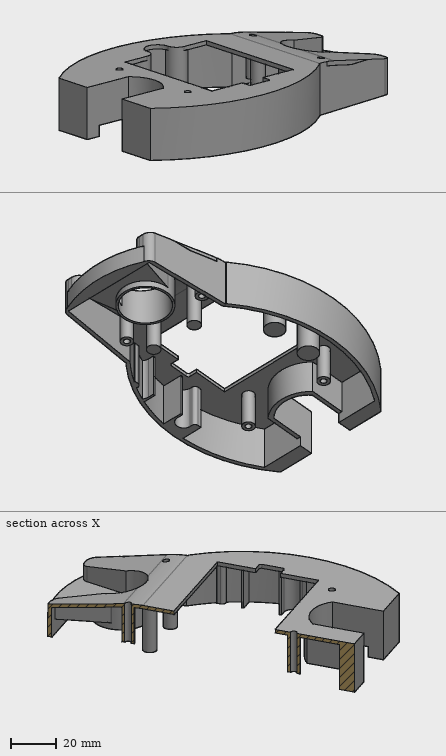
import cadquery as cq
import math

HEIGHT = 24.1
WALL = 2.0
CEILING = HEIGHT - WALL

BODY_LENGTH = 100.1
BODY_MID_Y = BODY_LENGTH / 2
BODY_WIDTH = 96.2
BODY_HALF_WIDTH = BODY_WIDTH / 2
BODY_END_HALF_WIDTH = 30.3
FRONT_WALL = 7.2
BULGE = BODY_HALF_WIDTH - BODY_END_HALF_WIDTH
SIDE_RADIUS = (BODY_MID_Y**2 + BULGE**2) / (2 * BULGE)
SIDE_CENTER_X = BODY_HALF_WIDTH - SIDE_RADIUS

PART_LENGTH = 150.5
NECK_ROOT_Y = 90.3
NECK_ROOT_HALF_WIDTH = 30.5
FINGER_TIP_Y = 145.8
FINGER_OUTER_X = 26.0
FINGER_INNER_X = 17.3
FINGER_ROUND = 3.9
THROAT_Y = 120.0
THROAT_HALF_WIDTH = 11.1
FLOOR_TOP = 9.2
TONGUE_HALF_WIDTH = 23.0
TONGUE_ROOT_Y = 135.5

SLOPE_START_Y = 105.1
SLOPE_ANGLE = math.radians(11)
SLOPE_BLEND = 4.7

NECK_HOLE_Y = 120.0
NECK_HOLE_DIAMETER = 24.0
NECK_TUBE_DIAMETER = 26.0
NECK_TUBE_BOTTOM = 4.0

SLOT_WIDTH = 23.0
SLOT_SIDE_LENGTH = 24.2
SLOT_DEPTH = 29.5
SLOT_LINING_BOTTOM = 5.1

WINDOW_WIDTH = 57.7
WINDOW_HALF_WIDTH = WINDOW_WIDTH / 2
WINDOW_LENGTH = 48.0
WINDOW_MID_Y = 61.7
TAB_WIDTH = 11.9
RIGHT_TAB_END_X = 33.9
RIGHT_TAB_ROUND = 1.0
LEFT_TAB_END_X = -40.0
TAB_POST_RADIUS = 5.0

SCREW_X = 22.6
SCREW_ROWS_Y = (28.9, 107.7)
SCREW_HOLE_DIAMETER = 3.0
SCREW_BOSS_DIAMETER = 6.0
SCREW_BOSS_BOTTOM = 4.0
PEG_X = 12.2
PEG_Y = 101.5
PEG_DIAMETER = 6.5
PEG_DROP = 2.9

CLIP_END_X = 35.2
CLIP_THIN_SIDE_Y = 75.9
CLIP_THICK_SIDE_Y = 88.8
CLIP_LIP_ROUND = 1.8
CLIP_SLOT_X = 38.2
CLIP_SLOT_Y = 81.0
CLIP_SLOT_RADIUS = 4.0
CLIP_MIRROR_Y = 67.5

EDGE_RECESS_DEPTH = 0.2
EDGE_RECESS_HEIGHT = 2.1
EDGE_RECESS_START_Y = 105.2
EDGE_RECESS_BOTTOM = 19.0


def box(x_range, y_range, z_range):
    size = [high - low for low, high in (x_range, y_range, z_range)]
    corner = (x_range[0], y_range[0], z_range[0])
    return cq.Workplane("XY").box(*size, centered=False).translate(corner)


def cylinder(x, y, diameter, bottom, top):
    plane = cq.Workplane("XY", origin=(x, y, bottom))
    return plane.circle(diameter / 2).extrude(top - bottom)


def barrel(inset, front_y, back_y, height):
    """Body outline moved inwards by inset, cut off square at both ends."""
    radius = SIDE_RADIUS - inset
    half_width = BODY_HALF_WIDTH - inset
    disc = cylinder(SIDE_CENTER_X, BODY_MID_Y, 2 * radius, 0, height)
    mirrored_disc = cylinder(-SIDE_CENTER_X, BODY_MID_Y, 2 * radius, 0, height)
    band = box((-half_width, half_width), (front_y, back_y), (0, height))
    return disc.intersect(mirrored_disc).intersect(band)


def under_roof(drop):
    """Everything below the roof surface lowered by drop, over the neck."""
    flat_z = HEIGHT - drop
    blend_end_y = SLOPE_START_Y + SLOPE_BLEND * math.cos(SLOPE_ANGLE)
    blend_end_z = flat_z - SLOPE_BLEND * math.sin(SLOPE_ANGLE)
    end_z = flat_z - (PART_LENGTH - SLOPE_START_Y) * math.tan(SLOPE_ANGLE)
    profile = (
        cq.Workplane("YZ", origin=(-BODY_HALF_WIDTH, 0, 0))
        .moveTo(NECK_ROOT_Y, 0)
        .lineTo(NECK_ROOT_Y, flat_z)
        .lineTo(SLOPE_START_Y - SLOPE_BLEND, flat_z)
        .tangentArcPoint((blend_end_y, blend_end_z), relative=False)
        .lineTo(PART_LENGTH, end_z)
        .lineTo(PART_LENGTH, 0)
        .close()
    )
    return profile.extrude(BODY_WIDTH)


def neck_outline(forked):
    """Tapered neck, with or without the gap between its two fingers."""
    right = [(NECK_ROOT_HALF_WIDTH, NECK_ROOT_Y), (FINGER_OUTER_X, FINGER_TIP_Y)]
    if forked:
        right += [(FINGER_INNER_X, FINGER_TIP_Y), (THROAT_HALF_WIDTH, THROAT_Y)]
    left = [(-x, y) for x, y in reversed(right)]
    return cq.Workplane("XY").polyline(right + left).close()


def neck():
    tips = cq.selectors.BoxSelector(
        (-BODY_HALF_WIDTH, FINGER_TIP_Y - WALL, 0),
        (BODY_HALF_WIDTH, PART_LENGTH, HEIGHT),
    )
    fork = neck_outline(forked=True).extrude(HEIGHT)
    fork = fork.edges("|Z").edges(tips).fillet(FINGER_ROUND)
    floor = neck_outline(forked=False).extrude(FLOOR_TOP)
    floor = floor.edges("|Z").edges(tips).fillet(FINGER_ROUND)
    tongue = (
        cq.Workplane("XY")
        .moveTo(-TONGUE_HALF_WIDTH, TONGUE_ROOT_Y)
        .lineTo(-TONGUE_HALF_WIDTH, FINGER_TIP_Y)
        .threePointArc((0, PART_LENGTH), (TONGUE_HALF_WIDTH, FINGER_TIP_Y))
        .lineTo(TONGUE_HALF_WIDTH, TONGUE_ROOT_Y)
        .close()
        .extrude(FLOOR_TOP)
    )
    return fork.intersect(under_roof(0)).union(floor).union(tongue)


def slot(margin, bottom):
    """Front slot widened by margin, from bottom up to the top face."""
    half_width = SLOT_WIDTH / 2 + margin
    side_length = SLOT_SIDE_LENGTH + margin
    return (
        cq.Workplane("XY", origin=(0, 0, bottom))
        .lineTo(half_width, 0)
        .lineTo(half_width, side_length)
        .threePointArc((0, SLOT_DEPTH + margin), (-half_width, side_length))
        .lineTo(-half_width, 0)
        .close()
        .extrude(HEIGHT - bottom)
    )


def tab_posts():
    """Posts flanking the left-hand tab of the window."""
    post_x = -WINDOW_HALF_WIDTH - TAB_POST_RADIUS
    offset_y = TAB_WIDTH / 2 + TAB_POST_RADIUS
    posts = cq.Workplane("XY")
    for side in (-1, 1):
        post_y = WINDOW_MID_Y + side * offset_y
        posts = posts.union(cylinder(post_x, post_y, 2 * TAB_POST_RADIUS, 0, HEIGHT))
    return posts


def clips():
    """Blocks on the side wall, each with a round-ended slot open towards the window."""
    slot_low = CLIP_SLOT_Y - CLIP_SLOT_RADIUS
    slot_high = CLIP_SLOT_Y + CLIP_SLOT_RADIUS
    x_range = (CLIP_END_X, BODY_HALF_WIDTH)
    thin_and_back = box(x_range, (CLIP_THIN_SIDE_Y, slot_high), (0, HEIGHT))
    thick_arm = box(x_range, (slot_high, CLIP_THICK_SIDE_Y), (0, HEIGHT))
    thick_arm = thick_arm.edges("|Z and <X and <Y").fillet(CLIP_LIP_ROUND)
    slot_end = cylinder(CLIP_SLOT_X, CLIP_SLOT_Y, 2 * CLIP_SLOT_RADIUS, 0, HEIGHT)
    slot_mouth = box((0, CLIP_SLOT_X), (slot_low, slot_high), (0, HEIGHT))
    clip = thin_and_back.cut(slot_end).cut(slot_mouth).union(thick_arm)
    return clip.union(clip.mirror("XZ", (0, CLIP_MIRROR_Y, 0)))


def neck_edge_recess():
    """Thin skin on both neck sides, just below the sloping roof."""
    skin = box(
        (-BODY_HALF_WIDTH, BODY_HALF_WIDTH),
        (EDGE_RECESS_START_Y, FINGER_TIP_Y - FINGER_ROUND),
        (EDGE_RECESS_BOTTOM, HEIGHT),
    )
    core = neck_outline(forked=False).offset2D(-EDGE_RECESS_DEPTH).extrude(HEIGHT)
    return skin.cut(core).cut(under_roof(EDGE_RECESS_HEIGHT))


def screw_cylinders(diameter, bottom):
    cylinders = cq.Workplane("XY")
    for y in SCREW_ROWS_Y:
        for x in (-SCREW_X, SCREW_X):
            cylinders = cylinders.union(cylinder(x, y, diameter, bottom, HEIGHT))
    return cylinders


def cavity():
    """Hollow open at the bottom, leaving the linings, bosses, posts and clips solid."""
    body_space = barrel(WALL, FRONT_WALL, BODY_LENGTH, CEILING)
    fork_space = neck_outline(forked=True).offset2D(-WALL).extrude(HEIGHT)
    fork_space = fork_space.intersect(under_roof(WALL))
    floor_space = neck_outline(forked=False).offset2D(-WALL).extrude(FLOOR_TOP - WALL)
    space = body_space.union(fork_space).union(floor_space)
    neck_tube = cylinder(0, NECK_HOLE_Y, NECK_TUBE_DIAMETER, NECK_TUBE_BOTTOM, HEIGHT)
    kept_solids = (
        neck_tube,
        slot(WALL, SLOT_LINING_BOTTOM),
        screw_cylinders(SCREW_BOSS_DIAMETER, SCREW_BOSS_BOTTOM),
        tab_posts(),
        clips(),
    )
    for kept in kept_solids:
        space = space.cut(kept)
    return space


def window():
    """Rectangle with a round-ended tab on the left and a small square tab on the right."""
    y_low = WINDOW_MID_Y - WINDOW_LENGTH / 2
    y_high = WINDOW_MID_Y + WINDOW_LENGTH / 2
    tab_low = WINDOW_MID_Y - TAB_WIDTH / 2
    tab_high = WINDOW_MID_Y + TAB_WIDTH / 2
    z_range = (CEILING - WALL, HEIGHT)
    opening = box((-WINDOW_HALF_WIDTH, WINDOW_HALF_WIDTH), (y_low, y_high), z_range)

    right_tab = box((0, RIGHT_TAB_END_X), (tab_low, tab_high), z_range)
    right_tab = right_tab.edges("|Z and >X").fillet(RIGHT_TAB_ROUND)

    round_end_x = LEFT_TAB_END_X + TAB_WIDTH / 2
    flare_x = -WINDOW_HALF_WIDTH - TAB_POST_RADIUS
    left_tab = box((round_end_x, 0), (tab_low, tab_high), z_range)
    left_tab = left_tab.union(cylinder(round_end_x, WINDOW_MID_Y, TAB_WIDTH, *z_range))
    flare_y = (tab_low - TAB_POST_RADIUS, tab_high + TAB_POST_RADIUS)
    flare = box((flare_x, 0), flare_y, z_range).cut(tab_posts())
    return opening.union(right_tab).union(left_tab).union(flare)


outer = barrel(0, 0, BODY_LENGTH, HEIGHT).union(neck()).cut(neck_edge_recess())
result = outer.cut(cavity())

for peg_x in (-PEG_X, PEG_X):
    result = result.union(cylinder(peg_x, PEG_Y, PEG_DIAMETER, -PEG_DROP, CEILING))

result = result.cut(window())
result = result.cut(slot(0, 0))
result = result.cut(cylinder(0, NECK_HOLE_Y, NECK_HOLE_DIAMETER, 0, HEIGHT))
result = result.cut(screw_cylinders(SCREW_HOLE_DIAMETER, 0))